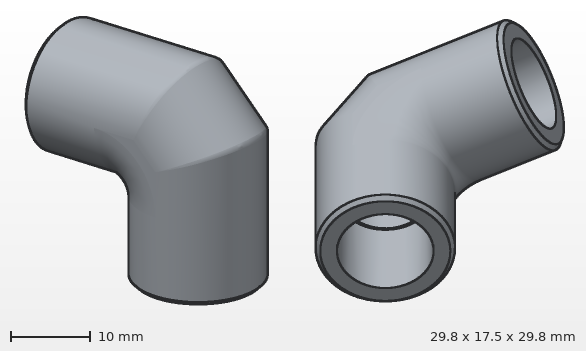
import cadquery as cq
import math

overall = 29.75
outer_radius = 8.75
inner_corner_radius = 0.92
end_chamfer = 0.6
mouth_diameter = 12.1
bore_diameter = 11.6
miter_offset = 3.45
miter_edge_radius = 0.98

leg_length = overall - outer_radius
bend_radius = outer_radius + inner_corner_radius
socket_depth = leg_length - bend_radius
bend_middle = -bend_radius * (1 - math.sqrt(0.5))
leg_directions = (cq.Vector(-1, 0, 0), cq.Vector(0, 0, -1))


def end_plane():
    """Workplane on the open -X end, centred on the pipe axis."""
    return cq.Workplane("YZ", origin=(-leg_length, 0, 0))


def half_disc(side):
    """Half of the pipe section at the open -X end: side 1 is upper, -1 is lower."""
    return (
        end_plane()
        .moveTo(-outer_radius, 0)
        .threePointArc((0, side * outer_radius), (outer_radius, 0))
        .close()
    )


def bent_path():
    """Centreline from one open end, round the bend, to the other open end."""
    return (
        cq.Workplane("XZ")
        .moveTo(-leg_length, 0)
        .lineTo(-bend_radius, 0)
        .threePointArc((bend_middle, bend_middle), (0, -bend_radius))
        .lineTo(0, -leg_length)
    )


def mitered_back():
    """Outer half of the elbow: three half-round lengths with rounded miter edges."""
    path = (
        cq.Workplane("XZ")
        .moveTo(-leg_length, 0)
        .lineTo(-miter_offset, 0)
        .lineTo(0, -miter_offset)
        .lineTo(0, -leg_length)
    )
    back = half_disc(1).sweep(path, transition="right")
    return back.edges("%ELLIPSE").fillet(miter_edge_radius)


def cheek_plate():
    """Flat-sided fill between the mitered back and the curved inner half."""
    return (
        cq.Workplane("XZ")
        .moveTo(-bend_radius, 0)
        .lineTo(-miter_offset, 0)
        .lineTo(0, -miter_offset)
        .lineTo(0, -bend_radius)
        .threePointArc((bend_middle, bend_middle), (-bend_radius, 0))
        .close()
        .extrude(outer_radius, both=True)
    )


def socket(direction):
    """Wider bore from an open end up to the bend."""
    start = direction * bend_radius
    return cq.Workplane(cq.Solid.makeCylinder(mouth_diameter / 2, socket_depth, start, direction))


inner_half = half_disc(-1).sweep(bent_path())
elbow = inner_half.union(cheek_plate()).union(mitered_back())
elbow = elbow.faces("<X or <Z").edges("%CIRCLE").chamfer(end_chamfer)

bore = end_plane().circle(bore_diameter / 2).sweep(bent_path())
elbow = elbow.cut(bore)
for leg_direction in leg_directions:
    elbow = elbow.cut(socket(leg_direction))

result = elbow